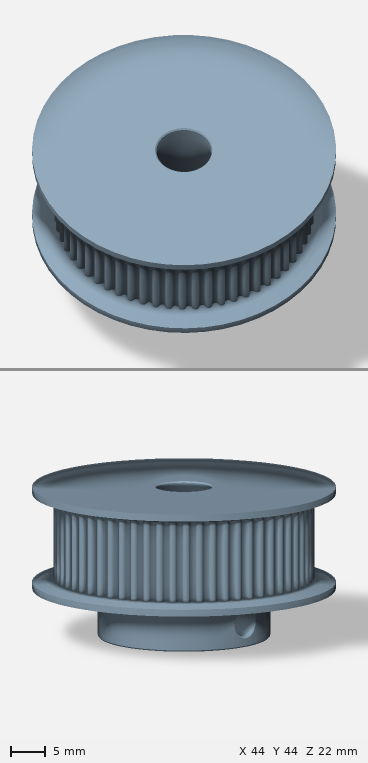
import cadquery as cq
import math

flange_diameter = 44.0
flange_thickness = 1.5
flange_rim_height = 1.0
flange_belt_face_diameter = 40.05
overall_height = 22.0
hub_diameter = 25.0
hub_height = 7.0
bore_diameter = 8.0
edge_chamfer = 0.2
set_screw_diameter = 4.0

tooth_count = 60
toothed_diameter = 37.7
groove_depth = 0.75
tip_radius = 0.55

lower_flange_top = hub_height + flange_thickness
upper_flange_bottom = overall_height - flange_thickness
set_screw_height = hub_height / 2
hub_radius = hub_diameter / 2


def polar(radius, angle):
    """Point at a radius and an angle in radians."""
    return (radius * math.cos(angle), radius * math.sin(angle))


def toothed_outline():
    """Closed outline of tangent arcs, tip and groove in turn; the first groove is centred on +X."""
    outer_radius = toothed_diameter / 2
    floor_radius = outer_radius - groove_depth
    half_pitch = math.pi / tooth_count
    tip_centre = outer_radius - tip_radius
    floor_to_tip_squared = (
        tip_centre ** 2 + floor_radius ** 2 - 2 * tip_centre * floor_radius * math.cos(half_pitch)
    )
    floor_drop = floor_radius - tip_centre * math.cos(half_pitch)
    groove_radius = (floor_to_tip_squared - tip_radius ** 2) / (2 * (tip_radius - floor_drop))
    groove_centre = floor_radius + groove_radius
    share = groove_radius / (groove_radius + tip_radius)
    tip_x, tip_y = polar(tip_centre, half_pitch)
    meeting_x = groove_centre + share * (tip_x - groove_centre)
    meeting_y = share * tip_y
    meeting_radius = math.hypot(meeting_x, meeting_y)
    meeting_angle = math.atan2(meeting_y, meeting_x)

    outline = cq.Workplane("XY").moveTo(*polar(meeting_radius, -meeting_angle))
    for index in range(tooth_count):
        groove_angle = 2 * half_pitch * index
        tip_angle = groove_angle + half_pitch
        outline = outline.threePointArc(
            polar(floor_radius, groove_angle),
            polar(meeting_radius, groove_angle + meeting_angle),
        ).threePointArc(
            polar(outer_radius, tip_angle),
            polar(meeting_radius, tip_angle + half_pitch - meeting_angle),
        )
    return outline.close()


def toothed_drum():
    drum = toothed_outline().extrude(upper_flange_bottom - lower_flange_top)
    return drum.translate((0, 0, lower_flange_top))


def flange(outer_face, direction):
    """Disc growing up (1) or down (-1) from its outer face, with a sloped belt side."""
    rim_end = outer_face + direction * flange_rim_height
    belt_face = outer_face + direction * flange_thickness
    return (
        cq.Workplane("XZ")
        .moveTo(0, outer_face)
        .lineTo(flange_diameter / 2, outer_face)
        .lineTo(flange_diameter / 2, rim_end)
        .lineTo(flange_belt_face_diameter / 2, belt_face)
        .lineTo(0, belt_face)
        .close()
        .revolve(360, (0, 0, 0), (0, 1, 0))
    )


def set_screw_hole():
    """Cutter for a hole through the -X wall to the bore."""
    return (
        cq.Workplane("YZ")
        .center(0, set_screw_height)
        .circle(set_screw_diameter / 2)
        .extrude(-hub_diameter)
    )


def hub():
    """Hub with chamfered set screw holes through its -X and -Y walls."""
    body = cq.Workplane("XY").circle(hub_radius).extrude(hub_height)
    body = body.faces("<Z").chamfer(edge_chamfer)
    for turn in (0, 90):
        body = body.cut(set_screw_hole().rotate((0, 0, 0), (0, 0, 1), turn))
    for mouth_x, mouth_y in ((-hub_radius, 0), (0, -hub_radius)):
        around_mouth = cq.selectors.BoxSelector(
            (mouth_x - set_screw_diameter, mouth_y - set_screw_diameter, edge_chamfer),
            (mouth_x + set_screw_diameter, mouth_y + set_screw_diameter, hub_height - edge_chamfer),
            boundingbox=True,
        )
        body = body.edges(around_mouth).chamfer(edge_chamfer)
    return body


def chamfered_bore():
    """Cutter for the through bore, flared at both ends."""
    bore_radius = bore_diameter / 2
    bore = cq.Workplane("XY").circle(bore_radius).extrude(overall_height)
    lower_flare = cq.Workplane("XY").circle(bore_radius + edge_chamfer).extrude(edge_chamfer, taper=45)
    upper_flare = lower_flare.mirror("XY").translate((0, 0, overall_height))
    return bore.union(lower_flare).union(upper_flare)


lower_flange = flange(hub_height, 1)
upper_flange = flange(overall_height, -1)
pulley = toothed_drum().union(lower_flange).union(upper_flange).union(hub())
result = pulley.cut(chamfered_bore())